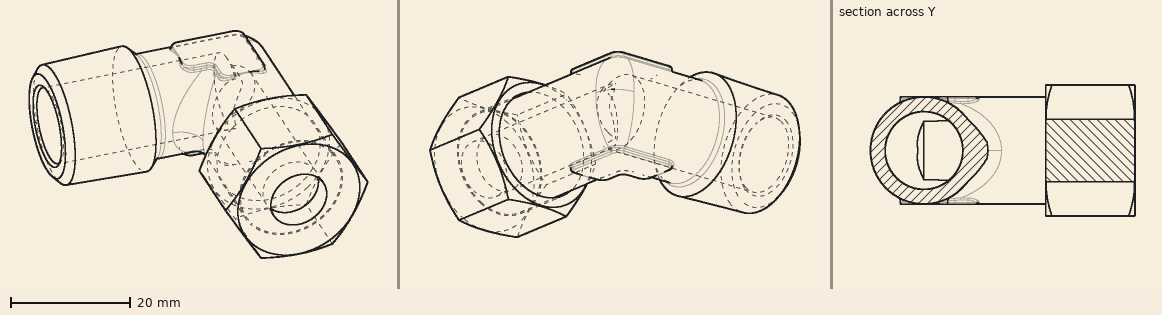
import cadquery as cq
import math

ORIGIN = (0, 0, 0)

tolerance = 0.005

tube_radius = 9.0
inner_bend_radius = 3.95
outer_bend_radius = 4.5
inlet_reach = 32.05
outlet_reach = 31.4

thread_length = 15.5
thread_large_radius = 10.75
thread_taper = 1 / 32
end_face_radius = 8.95
end_chamfer_length = 1.25
neck_fillet = 1.2
shoulder_angle = math.radians(45)
neck_rise = neck_fillet * (1 - math.cos(shoulder_angle))
neck_run = neck_fillet * math.sin(shoulder_angle)
thread_start = thread_length - inlet_reach
shoulder_end = thread_start + (thread_large_radius - tube_radius - neck_rise) / math.tan(shoulder_angle)
neck_start = shoulder_end + neck_run

inlet_bore_radius = 6.5
inlet_mouth_chamfer = 0.5
outlet_bore_radius = 5.0
drill_tip_angle = math.radians(60)

pad_half_width = 4.0
pad_reach = 8.95
pad_top = 9.022
pad_bottom = 5.55
pad_corner_radius = 1.55
pad_notch_radius = 1.1
pad_edge_round = 0.3
pad_root_fillet = 0.35

nut_length = 15.0
nut_wall = 4.0
nut_end = outlet_reach + nut_wall
nut_across_flats = 22.0
nut_face_radius = 10.9
nut_chamfer_angle = math.radians(30)
nut_bore_radius = 9.25


def make_mitred_tube():
    """Two equal tubes that meet in a 45 degree mitre; the inlet one stops at the neck."""
    behind = 2 * tube_radius
    outlet_leg = cq.Workplane("YZ", origin=(-behind, 0, 0)).circle(tube_radius).extrude(behind + outlet_reach)
    inlet_leg = cq.Workplane("XZ", origin=(0, behind, 0)).circle(tube_radius).extrude(behind - neck_start)
    far = 2 * outlet_reach
    outlet_side = (
        cq.Workplane("XY")
        .polyline([(-far, far), (far, -far), (far, far)])
        .close()
        .extrude(behind, both=True)
    )
    return outlet_leg.intersect(outlet_side).union(inlet_leg.cut(outlet_side))


def make_pad():
    """L-shaped pad that follows both legs, with a rounded top edge."""
    side = pad_half_width
    notch = side + pad_notch_radius
    rim = side - pad_corner_radius
    end = pad_reach - pad_corner_radius
    slant = math.sqrt(0.5)
    bulge = pad_corner_radius * slant
    notch_middle = notch - pad_notch_radius * slant
    outline = (
        cq.Workplane("XY", origin=(0, 0, pad_bottom))
        .moveTo(-rim, side)
        .lineTo(end, side)
        .threePointArc((end + bulge, rim + bulge), (pad_reach, rim))
        .lineTo(pad_reach, -rim)
        .threePointArc((end + bulge, -rim - bulge), (end, -side))
        .lineTo(notch, -side)
        .threePointArc((notch_middle, -notch_middle), (side, -notch))
        .lineTo(side, -end)
        .threePointArc((rim + bulge, -end - bulge), (rim, -pad_reach))
        .lineTo(-rim, -pad_reach)
        .threePointArc((-rim - bulge, -end - bulge), (-side, -end))
        .lineTo(-side, rim)
        .threePointArc((-rim - bulge, rim + bulge), (-rim, side))
        .close()
    )
    return outline.extrude(pad_top - pad_bottom).faces(">Z").edges().fillet(pad_edge_round)


def round_bend(body, corner_sign, radius):
    """Round the part of the mitre seam left between the pads.

    corner_sign is +1 for the crook of the elbow and -1 for its outer corner.
    """
    seam = [
        edge for edge in body.edges("%ELLIPSE").vals()
        if abs(edge.Center().x + edge.Center().y) < tolerance
        and corner_sign * edge.Center().x > 0
    ]
    return cq.Workplane(obj=body.val().fillet(radius, seam))


def make_thread():
    """Inlet end: neck blend, shoulder, tapered thread envelope and end chamfer."""
    half_angle = shoulder_angle / 2
    neck_middle = (
        tube_radius + neck_fillet * (1 - math.cos(half_angle)),
        neck_start - neck_fillet * math.sin(half_angle),
    )
    chamfer_start = end_chamfer_length - inlet_reach
    chamfer_radius = thread_large_radius - thread_taper * (thread_length - end_chamfer_length)
    return (
        cq.Workplane("XY")
        .moveTo(0, neck_start)
        .lineTo(tube_radius, neck_start)
        .threePointArc(neck_middle, (tube_radius + neck_rise, shoulder_end))
        .lineTo(thread_large_radius, thread_start)
        .lineTo(chamfer_radius, chamfer_start)
        .lineTo(end_face_radius, -inlet_reach)
        .lineTo(0, -inlet_reach)
        .close()
        .revolve(360, ORIGIN, (0, 1, 0))
    )


def make_inlet_bore():
    """Blind drilling with a conical bottom and a chamfered mouth."""
    tip = inlet_bore_radius / math.tan(drill_tip_angle)
    return (
        cq.Workplane("XY")
        .polyline([
            (0, tip),
            (inlet_bore_radius, 0),
            (inlet_bore_radius, inlet_mouth_chamfer - inlet_reach),
            (inlet_bore_radius + inlet_mouth_chamfer, -inlet_reach),
            (0, -inlet_reach),
        ])
        .close()
        .revolve(360, ORIGIN, (0, 1, 0))
    )


def make_outlet_bore():
    """Blind drilling with a conical bottom that breaks into the inlet bore."""
    tip = outlet_bore_radius / math.tan(drill_tip_angle)
    return (
        cq.Workplane("XY")
        .polyline([(-tip, 0), (0, outlet_bore_radius), (outlet_reach, outlet_bore_radius), (outlet_reach, 0)])
        .close()
        .revolve(360, ORIGIN, (1, 0, 0))
    )


def fillet_pad_roots(body):
    """Blend the pad walls into the tube, starting from their straight seams."""
    root_height = math.sqrt(tube_radius**2 - pad_half_width**2)
    straight_seams = [
        edge for edge in body.edges("|X or |Y").vals()
        if abs(abs(edge.Center().z) - root_height) < tolerance
    ]
    return cq.Workplane(obj=body.val().fillet(pad_root_fillet, straight_seams))


def make_elbow():
    """Elbow body; the bend is rounded after the pads, which bound the rounds."""
    pad = make_pad()
    body = make_mitred_tube().union(pad).union(pad.mirror("XY"))
    body = round_bend(body, 1, inner_bend_radius)
    body = round_bend(body, -1, outer_bend_radius)
    body = fillet_pad_roots(body)
    return body.union(make_thread()).cut(make_inlet_bore()).cut(make_outlet_bore())


def make_nut():
    """Hexagon nut, chamfered on both ends, with a clearance bore for the tube.

    Two hexagon corners lie in the XY plane. The hole in the end wall carries on
    the outlet bore.
    """
    corner_radius = nut_across_flats / 2 / math.cos(math.radians(30))
    chamfer_length = (corner_radius - nut_face_radius) * math.tan(nut_chamfer_angle)
    nut_start = nut_end - nut_length
    hexagon = (
        cq.Workplane("YZ", origin=(nut_start, 0, 0))
        .polygon(6, 2 * corner_radius)
        .circle(outlet_bore_radius)
        .extrude(nut_length)
    )
    turned_blank = (
        cq.Workplane("XY")
        .polyline([
            (nut_start, 0),
            (nut_start, nut_face_radius),
            (nut_start + chamfer_length, corner_radius),
            (nut_end - chamfer_length, corner_radius),
            (nut_end, nut_face_radius),
            (nut_end, 0),
        ])
        .close()
        .revolve(360, ORIGIN, (1, 0, 0))
    )
    tube_clearance = (
        cq.Workplane("YZ", origin=(nut_start, 0, 0))
        .circle(nut_bore_radius)
        .extrude(nut_length - nut_wall)
    )
    return hexagon.intersect(turned_blank).cut(tube_clearance)


elbow = make_elbow()
nut = make_nut()
result = cq.Compound.makeCompound([elbow.val(), nut.val()])